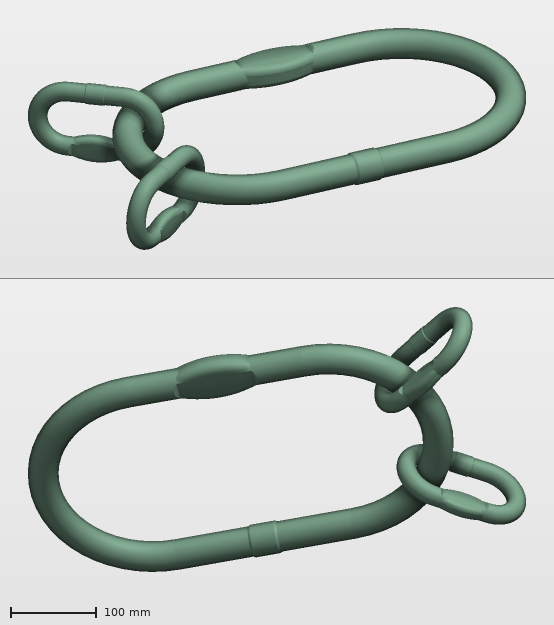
import cadquery as cq
import math


MASTER_BAR_DIA = 36.0
MASTER_PITCH = 255.5
MASTER_STRAIGHT = 210.5
MASTER_WELD = dict(dia=38.5, length=35.0, bevel=3.0)
MASTER_TAG = dict(
    length=89.5,
    waist_half=16.0,
    belly_half=25.0,
    flat_half_height=14.0,
    edge_radius=9.0,
    ramp=5.0,
)

COUPLING_BAR_DIA = 23.0
COUPLING_PITCH = 73.0
COUPLING_STRAIGHT = 66.0
COUPLING_WELD = dict(dia=24.5, length=23.5, bevel=1.0)
COUPLING_TAG = dict(
    length=55.0,
    waist_half=10.5,
    belly_half=16.0,
    flat_half_height=8.5,
    edge_radius=6.0,
    ramp=3.5,
)
COUPLING_ANGLES = (-35.7, 35.7)
COUPLING_CENTRE_RADIUS = 167.5


def oval_bar(bar_dia, pitch, straight):
    """Round bar bent into a closed oval in XY, long axis along Y."""
    leg_x = pitch / 2
    bend_y = straight / 2
    path = (
        cq.Workplane("XY")
        .moveTo(leg_x, -bend_y)
        .lineTo(leg_x, bend_y)
        .threePointArc((0, bend_y + leg_x), (-leg_x, bend_y))
        .lineTo(-leg_x, -bend_y)
        .threePointArc((0, -bend_y - leg_x), (leg_x, -bend_y))
        .close()
    )
    return cq.Workplane("XZ", origin=(leg_x, -bend_y, 0)).circle(bar_dia / 2).sweep(path)


def weld_collar(bar_dia, dia, length, bevel):
    """Raised weld band around a bar along Y, bevelled down to the bar at both ends."""
    half = length / 2
    return (
        cq.Workplane("XY")
        .moveTo(0, -half)
        .lineTo(bar_dia / 2, -half)
        .lineTo(dia / 2, -half + bevel)
        .lineTo(dia / 2, half - bevel)
        .lineTo(bar_dia / 2, half)
        .lineTo(0, half)
        .close()
        .revolve(360, (0, 0, 0), (0, 1, 0))
    )


def tag_body(tag):
    """Identification tag around a bar along Y: bowed sides rounded into a flat above and below."""
    half_length = tag["length"] / 2
    waist = tag["waist_half"]
    belly = tag["belly_half"]
    return (
        cq.Workplane("XY")
        .moveTo(-waist, -half_length)
        .lineTo(waist, -half_length)
        .threePointArc((belly, 0), (waist, half_length))
        .lineTo(-waist, half_length)
        .threePointArc((-belly, 0), (-waist, -half_length))
        .close()
        .extrude(tag["flat_half_height"], both=True)
        .edges("%CIRCLE")
        .fillet(tag["edge_radius"])
    )


def tag_relief(bar_dia, tag):
    """Material removed from the bar above and below the tag, with a ramp at each end."""
    flat_y = tag["length"] / 2
    flat_z = tag["flat_half_height"]
    top_y = flat_y + tag["ramp"]
    top_z = bar_dia / 2
    upper = (
        cq.Workplane("YZ")
        .polyline([(-flat_y, flat_z), (flat_y, flat_z), (top_y, top_z), (-top_y, top_z)])
        .close()
        .extrude(bar_dia / 2, both=True)
    )
    return upper.union(upper.mirror("XY"))


def chain_link(bar_dia, pitch, straight, weld, tag):
    """Oval link in XY with its weld collar on the +X leg and its tag on the -X leg."""
    leg_x = pitch / 2
    link = (
        oval_bar(bar_dia, pitch, straight)
        .union(weld_collar(bar_dia, **weld).translate((leg_x, 0, 0)))
        .cut(tag_relief(bar_dia, tag).translate((-leg_x, 0, 0)))
        .union(tag_body(tag).translate((-leg_x, 0, 0)))
    )
    return link.solids().val()


def coupling_location(angle):
    """Place a link upright and radial to the lower bend, with its weld collar on top."""
    out_x = math.sin(math.radians(angle))
    out_y = -math.cos(math.radians(angle))
    bend_centre_y = -MASTER_STRAIGHT / 2
    plane = cq.Plane(
        origin=(COUPLING_CENTRE_RADIUS * out_x, bend_centre_y + COUPLING_CENTRE_RADIUS * out_y, 0),
        xDir=(0, 0, 1),
        normal=(-out_y, out_x, 0),
    )
    return plane.location


def coupling_link(angle):
    """One upright coupling link hooked around the lower bend of the master link."""
    link = chain_link(COUPLING_BAR_DIA, COUPLING_PITCH, COUPLING_STRAIGHT, COUPLING_WELD, COUPLING_TAG)
    return link.moved(coupling_location(angle))


master_link = chain_link(MASTER_BAR_DIA, MASTER_PITCH, MASTER_STRAIGHT, MASTER_WELD, MASTER_TAG)
coupling_links = [coupling_link(angle) for angle in COUPLING_ANGLES]

result = cq.Compound.makeCompound([master_link, *coupling_links])